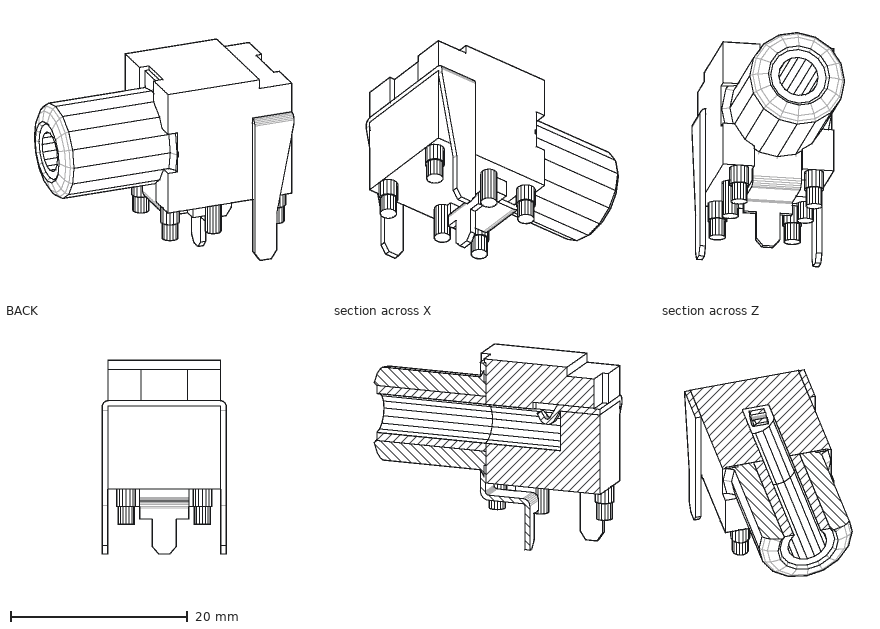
import cadquery as cq
import math


turn_sides = 16
bend_facets = 6
tongue_bend_facets = 8

sheet = 0.65

overall_width = 14.06
housing_width = overall_width - 2 * sheet
housing_depth = 15.15
housing_top = 7.62
housing_bottom = -6.96
step_height = 1.07
step_front = 11.2
back_notch_width = 5.25
back_notch_depth = 0.68

slot_depth = 1.15
top_slot_width = 4.2
side_notch_top = 2.73
side_notch_bottom = -2.08

shoulder_radius = 1.1
shoulder_length = 2.0
peg_radius = 0.93
post_length = 4.0
post_x = 4.31
rear_post_y = housing_depth - shoulder_radius
front_post_y = shoulder_radius
middle_post_y = 6.35
rib_front = 3.88

sleeve_front = -12.15
sleeve_radius = 5.45
sleeve_bore_radius = 3.2
lead_in = 0.33
nose_length = 1.05
nose_inner_bevel_radius = 4.67
nose_inner_bevel_length = 0.35
nose_outer_bevel_radius = 5.2
nose_outer_bevel_length = 0.7
flare_radius = 6.3
flare_front = 0.65
neck_radius = 4.92
sleeve_back = flare_front + sheet

plug_hole_radius = 2.27

terminal_top = 7.13
terminal_width = 5.57
terminal_shoulder = -10.35
terminal_pin_width = 2.73
terminal_tip_inset = 0.75
terminal_tip_length = 0.85
front_bend_radius = 1.05
rear_bend_inner_radius = 0.16
pin_bottom = -14.3

bridge_top = 3.05
bridge_bottom = bridge_top - sheet
contact_front = 10.35
leg_bend_radius = 0.75
leg_taper_top = 1.95
leg_taper_bottom = -8.82
leg_width = 2.68
leg_tip_inset = 0.65
leg_tip_length = 0.98
tongue_width = 1.75
tongue_angle = 60
tongue_low = 0.63
tongue_bend_radius = 0.98
tongue_tip_length = 0.8
tongue_tip_inset = 0.33
tongue_tip_taper = 0.7
tongue_room_front = 7.07


def block(x_range, y_range, z_range):
    """Box that spans the given ranges along X, Y and Z."""
    sizes = [high - low for low, high in (x_range, y_range, z_range)]
    corner = (x_range[0], y_range[0], z_range[0])
    return cq.Workplane("XY").box(*sizes, centered=False).translate(corner)


def centered_block(width, y_range, z_range):
    """Box that is centered on X = 0."""
    return block((-width / 2, width / 2), y_range, z_range)


def faceted_turning(profile):
    """Solid with flat sides around the jack axis, from a closed profile of (radius, Y) corners."""
    def corner(radius, y, side):
        angle = 2 * math.pi * side / turn_sides
        return (radius * math.cos(angle), y, radius * math.sin(angle))

    facets = []
    for side in range(turn_sides):
        for start, end in zip(profile, profile[1:] + profile[:1]):
            corners = [
                corner(*start, side),
                corner(*end, side),
                corner(*end, side + 1),
                corner(*start, side + 1),
            ]
            facets.append(cq.Face.makeFromWires(cq.Wire.makePolygon(corners, close=True)))
    solid = cq.Solid.makeSolid(cq.Shell.makeShell(facets)).fix()
    return cq.Workplane(obj=solid.clean())


def faceted_plug(radius, y_front, y_back):
    """Flat-sided cylinder on the jack axis."""
    base = cq.Workplane("XZ", origin=(0, y_back, 0))
    return base.polygon(turn_sides, 2 * radius).extrude(y_back - y_front)


def bend(center, radius, start, end, facets=bend_facets):
    """Corners of a faceted arc about a center, between two angles in degrees."""
    corners = []
    for step in range(facets + 1):
        angle = math.radians(start + (end - start) * step / facets)
        corners.append((center[0] + radius * math.cos(angle), center[1] + radius * math.sin(angle)))
    return corners


def make_sleeve():
    """Metal shell with a beveled nose, and a flare and a neck that hold the terminal."""
    return faceted_turning([
        (sleeve_bore_radius, sleeve_back),
        (sleeve_bore_radius, sleeve_front + lead_in),
        (sleeve_bore_radius + lead_in, sleeve_front),
        (nose_inner_bevel_radius, sleeve_front + nose_inner_bevel_length),
        (nose_outer_bevel_radius, sleeve_front + nose_outer_bevel_length),
        (sleeve_radius, sleeve_front + nose_length),
        (sleeve_radius, flare_front),
        (flare_radius, slot_depth),
        (neck_radius, slot_depth),
        (neck_radius, sleeve_back),
    ])


def make_insulator():
    """Tube inside the sleeve, from the end of the lead-in to the back of the sleeve."""
    insulator_front = sleeve_front + lead_in
    return faceted_turning([
        (plug_hole_radius, insulator_front),
        (sleeve_bore_radius, insulator_front),
        (sleeve_bore_radius, sleeve_back),
        (plug_hole_radius, sleeve_back),
    ])


def make_terminal(sleeve):
    """Plate around the sleeve neck, bent back under the housing and down into a pin."""
    pin_front = middle_post_y - sheet / 2
    pin_back = middle_post_y + sheet / 2
    strip_bottom = housing_bottom - shoulder_length
    front_center = (flare_front + front_bend_radius, strip_bottom + front_bend_radius)
    rear_center = (pin_front - rear_bend_inner_radius, strip_bottom - rear_bend_inner_radius)
    strip = (
        cq.Workplane("YZ")
        .polyline([
            (flare_front, 0),
            *bend(front_center, front_bend_radius, 180, 270),
            *bend(rear_center, rear_bend_inner_radius, 90, 0),
            (pin_front, terminal_shoulder),
            (pin_back, terminal_shoulder),
            *bend(rear_center, rear_bend_inner_radius + sheet, 0, 90),
            *bend(front_center, front_bend_radius - sheet, 270, 180),
            (sleeve_back, 0),
        ])
        .close()
        .extrude(terminal_width / 2, both=True)
    )
    half_pin = terminal_pin_width / 2
    half_tip = half_pin - terminal_tip_inset
    tip_start = pin_bottom + terminal_tip_length
    pin = (
        cq.Workplane("XZ", origin=(0, pin_back, 0))
        .polyline([
            (-half_pin, terminal_shoulder),
            (-half_pin, tip_start),
            (-half_tip, pin_bottom),
            (half_tip, pin_bottom),
            (half_pin, tip_start),
            (half_pin, terminal_shoulder),
        ])
        .close()
        .extrude(sheet)
    )
    top_tab = centered_block(top_slot_width, (flare_front, sleeve_back), (0, terminal_top))
    ring = faceted_plug(flare_radius, slot_depth, sleeve_back)
    sleeve_seat = faceted_plug(neck_radius, flare_front, sleeve_back)
    return strip.union(pin).union(top_tab).union(ring).cut(sleeve_seat).cut(sleeve)


def make_contact_legs():
    """Two side legs, joined by a bridge across the back of the housing."""
    half_width = overall_width / 2
    bend_x = half_width - leg_bend_radius
    bend_z = bridge_top - leg_bend_radius
    outline = (
        cq.Workplane("XZ", origin=(0, housing_depth, 0))
        .polyline([
            (half_width, pin_bottom),
            *bend((bend_x, bend_z), leg_bend_radius, 0, 90),
            *bend((-bend_x, bend_z), leg_bend_radius, 90, 180),
            (-half_width, pin_bottom),
            (-housing_width / 2, pin_bottom),
            (-housing_width / 2, bridge_bottom),
            (housing_width / 2, bridge_bottom),
            (housing_width / 2, pin_bottom),
        ])
        .close()
        .extrude(housing_depth - contact_front)
    )
    leg_back = contact_front + leg_width
    tip_start = pin_bottom + leg_tip_length
    side_outline = (
        cq.Workplane("YZ")
        .polyline([
            (contact_front, bridge_top),
            (contact_front, tip_start),
            (contact_front + leg_tip_inset, pin_bottom),
            (leg_back - leg_tip_inset, pin_bottom),
            (leg_back, tip_start),
            (leg_back, leg_taper_bottom),
            (housing_depth, leg_taper_top),
            (housing_depth, bridge_top),
        ])
        .close()
        .extrude(half_width, both=True)
    )
    return outline.intersect(side_outline)


def make_tongue():
    """V-shaped spring tongue that hangs from the front edge of the bridge."""
    slope = math.radians(tongue_angle)
    sin_a = math.sin(slope)
    cos_a = math.cos(slope)
    inner_radius = tongue_bend_radius - sheet
    center_z = tongue_low + tongue_bend_radius
    outer_arm_height = bridge_bottom - (center_z - tongue_bend_radius * cos_a)
    center_y = contact_front - tongue_bend_radius * sin_a - outer_arm_height / math.tan(slope)
    front_angle = 270 - tongue_angle
    back_angle = 270 + tongue_angle

    def v_bend(radius):
        return bend((center_y, center_z), radius, front_angle, back_angle, tongue_bend_facets)

    def front_tip(radius):
        base_y, base_z = v_bend(radius)[0]
        return (base_y - tongue_tip_length * cos_a, base_z + tongue_tip_length * sin_a)

    inner_back_y, inner_back_z = v_bend(inner_radius)[-1]
    inner_top_y = inner_back_y + (bridge_top - inner_back_z) / math.tan(slope)
    tongue = (
        cq.Workplane("YZ")
        .polyline([
            front_tip(tongue_bend_radius),
            *v_bend(tongue_bend_radius),
            (contact_front, bridge_bottom),
            (contact_front, bridge_top),
            (inner_top_y, bridge_top),
            *reversed(v_bend(inner_radius)),
            front_tip(inner_radius),
        ])
        .close()
        .extrude(tongue_width / 2, both=True)
    )
    through_sheet = cq.selectors.ParallelDirSelector(cq.Vector(0, sin_a, cos_a))
    return tongue.edges(through_sheet).chamfer(tongue_tip_inset, tongue_tip_taper)


def make_contact():
    """Legs, bridge and tongue in one piece."""
    return make_contact_legs().union(make_tongue())


def make_post(y, x, with_shoulder):
    """Locating post that hangs from the bottom of the housing."""
    base = cq.Workplane("XY", origin=(x, y, housing_bottom))
    post = base.polygon(turn_sides, 2 * peg_radius).extrude(-post_length)
    if with_shoulder:
        post = post.union(base.polygon(turn_sides, 2 * shoulder_radius).extrude(-shoulder_length))
    return post


def make_housing(sleeve, terminal, contact):
    """Block with its openings, posts and ribs, and a seat for each part that it holds."""
    step_z = housing_top - step_height
    housing = centered_block(housing_width, (0, housing_depth), (housing_bottom, housing_top))

    housing = housing.cut(centered_block(housing_width, (step_front, housing_depth), (step_z, housing_top)))
    notch_front = housing_depth - back_notch_depth
    housing = housing.cut(
        centered_block(back_notch_width, (notch_front, housing_depth), (bridge_top, step_z))
    )

    housing = housing.cut(centered_block(top_slot_width, (0, slot_depth), (0, housing_top)))
    housing = housing.cut(
        centered_block(housing_width, (0, slot_depth), (side_notch_bottom, side_notch_top))
    )
    housing = housing.cut(centered_block(terminal_width, (0, flare_front), (housing_bottom, 0)))

    housing = housing.cut(faceted_plug(plug_hole_radius, 0, contact_front))
    tongue_room = centered_block(tongue_width, (tongue_room_front, contact_front), (0, bridge_top))
    housing = housing.cut(tongue_room)

    for side in (-1, 1):
        x = side * post_x
        housing = housing.union(make_post(front_post_y, x, True))
        housing = housing.union(make_post(middle_post_y, x, False))
        housing = housing.union(make_post(rear_post_y, x, True))
        rib_edges = sorted((side * terminal_width / 2, x))
        rib_z = (housing_bottom - shoulder_length, housing_bottom)
        housing = housing.union(block(rib_edges, (rib_front, middle_post_y), rib_z))

    housing = housing.cut(faceted_plug(neck_radius, 0, sleeve_back))
    return housing.cut(sleeve).cut(terminal).cut(contact)


sleeve = make_sleeve()
insulator = make_insulator()
terminal = make_terminal(sleeve)
contact = make_contact()
housing = make_housing(sleeve, terminal, contact)

bodies = [housing, sleeve, insulator, terminal, contact]
result = cq.Compound.makeCompound([body.solids().val() for body in bodies])